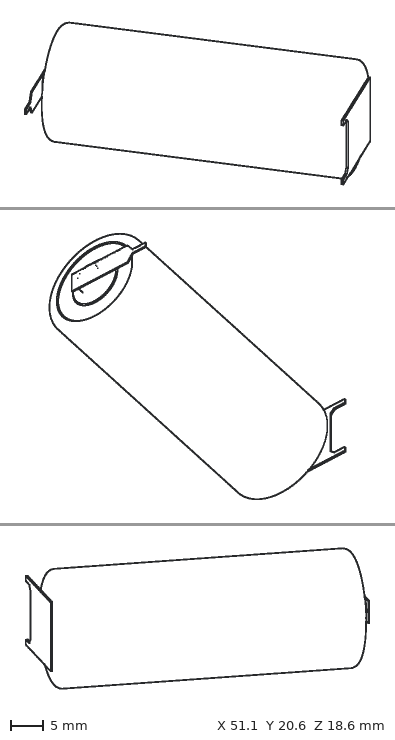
import cadquery as cq
import math

total_length = 51.1
pin_reach = 11.3
pin_width = 0.8

can_radius = 9.3
can_start = 1.9
can_end = 49.75
can_edge_radius = 1.0
can_flat_radius = can_radius - can_edge_radius

recess_depth = 0.15
recess_inner_radius = 4.35
recess_outer_radius = 7.15
recess_wall_run = 0.2

button_radius = 2.5
button_edge_radius = 0.5
button_root_radius = 0.3

positive_thickness = 0.2
positive_top = 2.95
positive_half_width = 1.8
positive_taper_start = -7.8
positive_taper_end = -8.75

negative_thickness = 0.3
negative_top = 4.05
negative_half_width = 5.5
negative_lower_edge = -8.5
pin_root_chamfer = 0.75
cone_tip_radius = 4.25

arc_midpoint = math.sqrt(0.5)
plate_start = total_length - negative_thickness


def make_cell():
    """Revolve the can, button, recess and end cone about the X axis."""
    button_arc_x = positive_thickness + button_edge_radius
    button_arc_r = button_radius - button_edge_radius
    root_x = can_start - button_root_radius
    root_r = button_radius + button_root_radius
    front_arc_x = can_start + can_edge_radius
    rear_arc_x = can_end - can_edge_radius
    button_bulge = button_edge_radius * arc_midpoint
    root_bulge = button_root_radius * arc_midpoint
    can_bulge = can_edge_radius * arc_midpoint
    recess_floor = can_start + recess_depth

    profile = (
        cq.Workplane("XY")
        .moveTo(positive_thickness, 0)
        .lineTo(positive_thickness, button_arc_r)
        .threePointArc(
            (button_arc_x - button_bulge, button_arc_r + button_bulge),
            (button_arc_x, button_radius),
        )
        .lineTo(root_x, button_radius)
        .threePointArc((root_x + root_bulge, root_r - root_bulge), (can_start, root_r))
        .lineTo(can_start, recess_inner_radius - recess_wall_run)
        .lineTo(recess_floor, recess_inner_radius)
        .lineTo(recess_floor, recess_outer_radius)
        .lineTo(can_start, recess_outer_radius + recess_wall_run)
        .lineTo(can_start, can_flat_radius)
        .threePointArc(
            (front_arc_x - can_bulge, can_flat_radius + can_bulge),
            (front_arc_x, can_radius),
        )
        .lineTo(rear_arc_x, can_radius)
        .threePointArc(
            (rear_arc_x + can_bulge, can_flat_radius + can_bulge),
            (can_end, can_flat_radius),
        )
        .lineTo(plate_start, cone_tip_radius)
        .lineTo(plate_start, 0)
        .close()
    )
    return profile.revolve(360, (0, 0, 0), (1, 0, 0))


def make_plate(half_outline, start, thickness):
    """Extrude a flat plate along X from its +Z half outline, mirrored about Z = 0."""
    mirrored = [(y, -z) for y, z in reversed(half_outline)]
    outline = half_outline + mirrored
    return cq.Workplane("YZ", origin=(start, 0, 0)).polyline(outline).close().extrude(thickness)


def make_positive_tab():
    """Strip across the button that narrows to a single central pin."""
    half_outline = [
        (positive_top, positive_half_width),
        (positive_taper_start, positive_half_width),
        (positive_taper_end, pin_width / 2),
        (-pin_reach, pin_width / 2),
    ]
    return make_plate(half_outline, 0, positive_thickness)


def make_negative_plate():
    """Wide plate on the cone tip with a pin at each side."""
    pin_inner = negative_half_width - pin_width
    half_outline = [
        (negative_top, negative_half_width),
        (-pin_reach, negative_half_width),
        (-pin_reach, pin_inner),
        (negative_lower_edge - pin_root_chamfer, pin_inner),
        (negative_lower_edge, pin_inner - pin_root_chamfer),
    ]
    return make_plate(half_outline, plate_start, negative_thickness)


result = make_cell().union(make_positive_tab()).union(make_negative_plate())